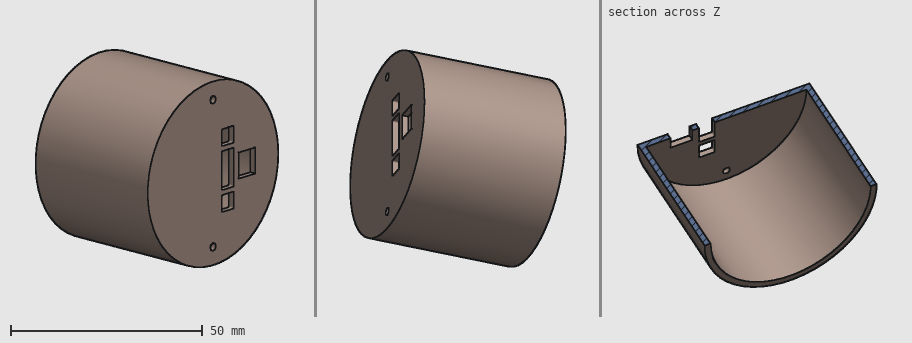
import cadquery as cq

outer_diameter = 50.0
bore_diameter = 46.4
length = 40.0
wall = (outer_diameter - bore_diameter) / 2
floor_thickness = wall
cavity_depth = length - floor_thickness

screw_hole_diameter = 2.0
screw_hole_offset = 20.0

column_y = 5.65
column_width = 4.6
tall_window_height = 10.6
square_window_offset = 8.95
window_corner_radius = 0.4

side_window_y = 13.05
side_window_width = 6.35
side_window_height = 7.1


def window_cutter(y, z, width, height):
    """Box running the full length of the cup, centred at (y, z)."""
    return cq.Workplane("XY").box(length, width, height).translate((0, y, z))


def rounded_window_cutter(z, height):
    """Window of the column, with its four corners rounded."""
    return window_cutter(column_y, z, column_width, height).edges("|X").fillet(window_corner_radius)


open_end = cq.Workplane("YZ", origin=(-length / 2, 0, 0))
result = open_end.circle(outer_diameter / 2).extrude(length)
result = result.cut(open_end.circle(bore_diameter / 2).extrude(cavity_depth))

screw_holes = (
    open_end.pushPoints([(0, -screw_hole_offset), (0, screw_hole_offset)])
    .circle(screw_hole_diameter / 2)
    .extrude(length)
)
result = result.cut(screw_holes)

result = result.cut(rounded_window_cutter(0, tall_window_height))
for z in (-square_window_offset, square_window_offset):
    result = result.cut(rounded_window_cutter(z, column_width))

result = result.cut(window_cutter(side_window_y, 0, side_window_width, side_window_height))